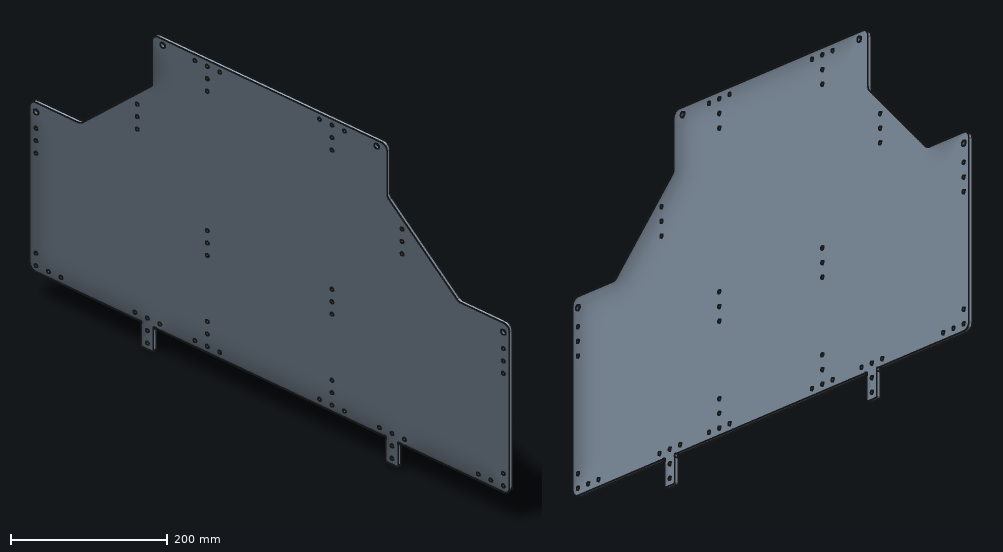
import cadquery as cq
import math

width = 775.0
total_height = 514.0
thickness = 6.0
hole_pitch = 20.0
edge_margin = hole_pitch / 2

tab_x = 198.0
tab_width = hole_pitch
tab_length = 2 * hole_pitch
tab_end_radius = 2.0

plate_height = total_height - tab_length
shoulder_z = 274.0
shoulder_rise = 115.5
head_width = 380.0
corner_radius = 10.0

small_diameter = 5.0
large_diameter = 8.0
inner_column_x = 101.0
middle_group_z = 177.5
side_group_z = 212.0
shoulder_group_x = 214.0
shoulder_group_z = 328.5
head_mount_x = 173.0
side_mount_drop = 15.5

half_width = width / 2
half_head = head_width / 2
edge_column_x = half_width - edge_margin
top_row_z = plate_height - edge_margin
bottom_row_z = edge_margin

relief_diameter = small_diameter
relief_offset = relief_diameter / 2 / math.sqrt(2)


def make_body():
    """Body outline with every corner rounded."""
    right_side = [
        (half_width, 0),
        (half_width, shoulder_z),
        (half_head + shoulder_rise, shoulder_z),
        (half_head, shoulder_z + shoulder_rise),
        (half_head, plate_height),
    ]
    left_side = [(-x, z) for x, z in reversed(right_side)]
    outline = cq.Workplane("XZ").polyline(right_side + left_side).close()
    return outline.extrude(-thickness).edges("|Y").fillet(corner_radius)


def make_tab(x):
    """Tab with rounded lower corners, reaching one margin up into the body."""
    height = tab_length + edge_margin
    tab = cq.Workplane("XY").box(tab_width, thickness, height, centered=(True, False, False))
    tab = tab.edges("|Y and <Z").fillet(tab_end_radius)
    return tab.translate((x, 0, -tab_length))


def row(x, z, steps=(-1, 0, 1)):
    """Points along X, at the given numbers of hole pitches from (x, z)."""
    return [(x + n * hole_pitch, z) for n in steps]


def column(x, z, steps=(-1, 0, 1)):
    """Points along Z, at the given numbers of hole pitches from (x, z)."""
    return [(x, z + n * hole_pitch) for n in steps]


def drill(part, points, diameter):
    """Cut through holes at the points and at their mirror images across X = 0."""
    both_halves = points + [(-x, z) for x, z in points]
    cutters = cq.Workplane("XZ").pushPoints(both_halves).circle(diameter / 2).extrude(-thickness)
    return part.cut(cutters)


small_holes = (
    row(inner_column_x, top_row_z)
    + column(inner_column_x, top_row_z, (-2, -1))
    + column(inner_column_x, middle_group_z)
    + row(inner_column_x, bottom_row_z)
    + column(inner_column_x, bottom_row_z, (1, 2))
    + column(shoulder_group_x, shoulder_group_z)
    + column(edge_column_x, side_group_z)
    + row(edge_column_x, bottom_row_z, (-2, -1, 0))
    + column(edge_column_x, bottom_row_z, (1,))
    + row(tab_x, bottom_row_z)
    + column(tab_x, bottom_row_z, (-2, -1))
)
large_holes = [
    (head_mount_x, top_row_z),
    (edge_column_x, shoulder_z - side_mount_drop),
]
root_reliefs = [
    (tab_x + side * (tab_width / 2 + relief_offset), -relief_offset)
    for side in (-1, 1)
]

result = make_body()
for tab_side in (-1, 1):
    result = result.union(make_tab(tab_side * tab_x))
result = drill(result, root_reliefs, relief_diameter)
result = drill(result, small_holes, small_diameter)
result = drill(result, large_holes, large_diameter)